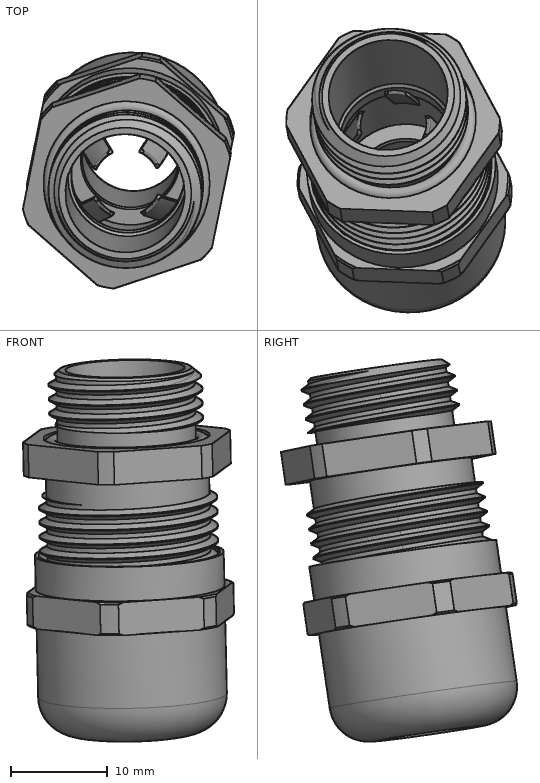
import cadquery as cq
import math


TILT_X = 8.2
TILT_Y = -1.3
HEX_TURN = 18.5
FINGER_TURN = 46.5

TOTAL_LENGTH = 38.2
FLANGE_TOP = TOTAL_LENGTH - 7.1
FLANGE_HEIGHT = 3.45
CAP_TOP = 18.85
CAP_HEX_TOP = 15.3
CAP_HEX_HEIGHT = 3.45
SEAT_HEIGHT = 14.25

HEX_ACROSS_FLATS = 20.0
FLANGE_CORNER_DIAMETER = 22.2
CAP_CORNER_DIAMETER = 22.07
CAP_HEX_CHAMFER = 0.2

NECK_DIAMETER = 14.4
BARREL_DIAMETER = 16.95
RIM_DIAMETER = 13.75
RIM_CHAMFER_HEIGHT = 1.2
RIM_CHAMFER_RADIAL = 1.4
RIM_STOCK = 0.4
BORE_DIAMETER = 12.35
THROAT_DIAMETER = 11.75
CHAMBER_DIAMETER = 13.5
BORE_DEPTH = 11.7
THROAT_END_DEPTH = 13.87

PITCH = 1.5
THREAD_HEIGHT = 0.8
THREAD_BASE = 1.1
THREAD_CREST = 0.1
THREAD_ROOT_OVERLAP = 0.08
NECK_THREAD_END = TOTAL_LENGTH - 5.6
BARREL_THREAD_TOP = TOTAL_LENGTH - 13.15
BARREL_THREAD_END = CAP_TOP - 1.6
NECK_THREAD_START = NECK_THREAD_END - 1.85
BARREL_THREAD_START = BARREL_THREAD_END - 0.9
THREAD_TURN = HEX_TURN + 180

RING_SECTION = 1.43
RING_GROOVE_DIAMETER = NECK_DIAMETER + 2 * RING_SECTION

CAP_DIAMETER = 19.6
CAP_BORE = 18.82
CAP_HOLE_LIP = 10.25
CAP_HOLE = 9.95
CAP_HOLE_BOTTOM = 10.5
CAP_ROUND = 4.1
CAP_HOLE_LEAD = 0.4

FINGER_COUNT = 4
FINGER_WIDTH = 2.6
FINGER_TIP_HEIGHT = TOTAL_LENGTH - 7.73
FINGER_TIP_RADIUS = 3.35
FINGER_THICKNESS = 0.4
FINGER_FOOT_TOP = TOTAL_LENGTH - 17.05
FINGER_FOOT_LENGTH = 1.3
FINGER_TIP_ROUND = 0.15
FINGER_CORNER_ROUND = 0.48


def cylinder(diameter, bottom, top):
    return cq.Workplane("XY").workplane(offset=bottom).circle(diameter / 2).extrude(top - bottom)


def revolved(points):
    """Solid of revolution about the gland axis from (radius, height) points."""
    return cq.Workplane("XZ").polyline(points).close().revolve(360, (0, 0, 0), (0, 1, 0))


def hexagon(corner_diameter, bottom, height):
    """Hexagonal prism whose corners are turned down to a cylinder."""
    prism = (
        cq.Workplane("XY")
        .workplane(offset=bottom)
        .polygon(6, HEX_ACROSS_FLATS / math.cos(math.pi / 6))
        .extrude(height)
        .rotate((0, 0, 0), (0, 0, 1), HEX_TURN)
    )
    return prism.intersect(cylinder(corner_diameter, bottom, bottom + height))


def thread(root_diameter, start, bottom, top):
    """Right-hand ridge around a cylinder, cut off square at both ends."""
    length = top - start + PITCH
    root = root_diameter / 2 - THREAD_ROOT_OVERLAP
    crest = root_diameter / 2 + THREAD_HEIGHT
    helix = cq.Wire.makeHelix(PITCH, length, root)
    ridge = (
        cq.Workplane("XZ")
        .polyline([
            (root, -THREAD_BASE / 2),
            (crest, -THREAD_CREST / 2),
            (crest, THREAD_CREST / 2),
            (root, THREAD_BASE / 2),
        ])
        .close()
        .sweep(cq.Workplane(helix), isFrenet=True)
        .rotate((0, 0, 0), (0, 0, 1), THREAD_TURN)
        .translate((0, 0, start))
    )
    return ridge.intersect(cylinder(2 * crest + PITCH, bottom, top))


def make_housing():
    barrel = cylinder(BARREL_DIAMETER, SEAT_HEIGHT, FLANGE_TOP)
    barrel_thread = thread(BARREL_DIAMETER, BARREL_THREAD_START, BARREL_THREAD_END, BARREL_THREAD_TOP)
    barrel = barrel.union(barrel_thread)
    flange = hexagon(FLANGE_CORNER_DIAMETER, FLANGE_TOP - FLANGE_HEIGHT, FLANGE_HEIGHT)
    groove = cylinder(RING_GROOVE_DIAMETER, FLANGE_TOP - RING_SECTION, FLANGE_TOP)

    stock_top = TOTAL_LENGTH + RIM_STOCK
    neck = cylinder(NECK_DIAMETER, FLANGE_TOP - RING_SECTION, stock_top)
    neck = neck.union(thread(NECK_DIAMETER, NECK_THREAD_START, NECK_THREAD_END, stock_top))
    rim = RIM_DIAMETER / 2
    envelope = revolved([
        (0, 0),
        (rim + RIM_CHAMFER_RADIAL, 0),
        (rim + RIM_CHAMFER_RADIAL, TOTAL_LENGTH - RIM_CHAMFER_HEIGHT),
        (rim, TOTAL_LENGTH),
        (0, TOTAL_LENGTH),
    ])
    neck = neck.intersect(envelope)

    step = (BORE_DIAMETER - THROAT_DIAMETER) / 2
    bore_end = TOTAL_LENGTH - BORE_DEPTH
    throat_end = TOTAL_LENGTH - THROAT_END_DEPTH
    bore = revolved([
        (0, TOTAL_LENGTH),
        (BORE_DIAMETER / 2, TOTAL_LENGTH),
        (BORE_DIAMETER / 2, bore_end),
        (THROAT_DIAMETER / 2, bore_end - step),
        (THROAT_DIAMETER / 2, throat_end),
        (CHAMBER_DIAMETER / 2, throat_end),
        (CHAMBER_DIAMETER / 2, SEAT_HEIGHT),
        (0, SEAT_HEIGHT),
    ])
    return barrel.union(flange).cut(groove).union(neck).cut(bore)


def make_sealing_ring():
    center = (NECK_DIAMETER + RING_SECTION) / 2
    return (
        cq.Workplane("XZ")
        .center(center, FLANGE_TOP - RING_SECTION / 2)
        .circle(RING_SECTION / 2)
        .revolve(360, (-center, 0, 0), (-center, 1, 0))
    )


def make_cap():
    shell = cylinder(CAP_DIAMETER, 0, CAP_TOP).faces("<Z").edges().fillet(CAP_ROUND)
    hex_bottom = CAP_HEX_TOP - CAP_HEX_HEIGHT
    turned_blank = cylinder(CAP_CORNER_DIAMETER, hex_bottom, CAP_HEX_TOP).edges().chamfer(CAP_HEX_CHAMFER)
    grip = hexagon(CAP_CORNER_DIAMETER, hex_bottom, CAP_HEX_HEIGHT).intersect(turned_blank)
    shell = shell.union(grip)
    inside = revolved([
        (0, 0),
        (CAP_HOLE_BOTTOM / 2, 0),
        (CAP_HOLE / 2, SEAT_HEIGHT - CAP_HOLE_LEAD),
        (CAP_HOLE_LIP / 2, SEAT_HEIGHT),
        (CAP_BORE / 2, SEAT_HEIGHT),
        (CAP_BORE / 2, CAP_TOP),
        (0, CAP_TOP),
    ])
    return shell.cut(inside)


def make_finger(azimuth):
    """Sloping leaf that leans inward and upward from the chamber wall."""
    wall = CHAMBER_DIAMETER / 2
    bottom = FINGER_FOOT_TOP - FINGER_FOOT_LENGTH
    leaf = revolved([
        (FINGER_TIP_RADIUS, FINGER_TIP_HEIGHT),
        (FINGER_TIP_RADIUS + FINGER_THICKNESS, FINGER_TIP_HEIGHT),
        (wall, FINGER_FOOT_TOP),
        (wall, bottom),
    ]).faces(">Z").edges().fillet(FINGER_TIP_ROUND)
    strip = (
        cq.Workplane("YZ")
        .center(0, (bottom + FINGER_TIP_HEIGHT) / 2)
        .rect(FINGER_WIDTH, FINGER_TIP_HEIGHT - bottom)
        .extrude(CHAMBER_DIAMETER)
        .faces(">Z")
        .edges("|X")
        .fillet(FINGER_CORNER_ROUND)
    )
    return leaf.intersect(strip).rotate((0, 0, 0), (0, 0, 1), azimuth)


def tilted(body):
    return body.rotate((0, 0, 0), (1, 0, 0), TILT_X).rotate((0, 0, 0), (0, 1, 0), TILT_Y).val()


housing = make_housing()
cap = make_cap()
sealing_ring = make_sealing_ring()
fingers = [make_finger(FINGER_TURN + i * 360 / FINGER_COUNT) for i in range(FINGER_COUNT)]

result = cq.Compound.makeCompound([tilted(body) for body in [housing, cap, sealing_ring, *fingers]])